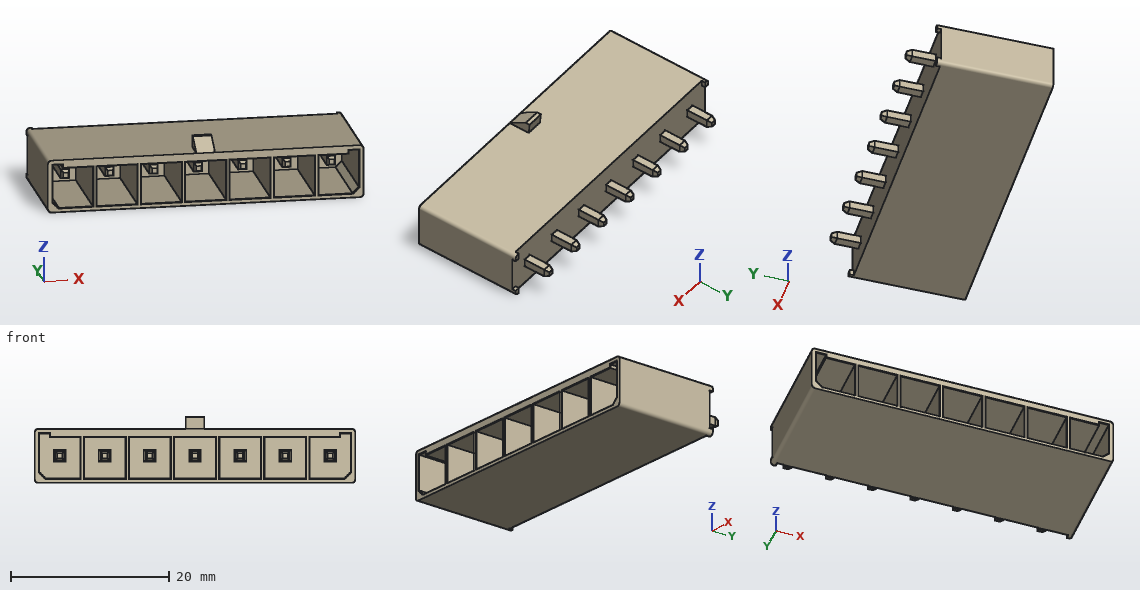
import cadquery as cq

HOUSING_WIDTH = 40.55
HOUSING_HEIGHT = 6.85
HOUSING_DEPTH = 14.75
EDGE_RADIUS = 0.5

FOOT_WIDTH = 0.7
FOOT_HEIGHT = 0.85
FOOT_LENGTH = 0.53

CONTACT_COUNT = 7
ROW_SPAN = 34.2
PITCH = ROW_SPAN / (CONTACT_COUNT - 1)
CAVITY_WIDTH = 5.35
CAVITY_HEIGHT = CAVITY_WIDTH
CAVITY_DEPTH = 12.15
MOUTH_BEVEL = 0.1
BOTTOM_WALL = 0.5
SIDE_WALL = 0.53

KEY_WIDTH = 1.45
KEY_HEIGHT = 0.5
CORNER_BEVEL = 0.85

LATCH_WIDTH = 2.4
LATCH_TOP = 8.35
LATCH_RIDGE_FRONT = 2.55
LATCH_RIDGE_BACK = 3.15
LATCH_BASE_BACK = 3.0

PIN_WIDTH = 1.1
PIN_HEIGHT = 1.18
PIN_FRONT = 4.85
PIN_BACK = 18.5
TIP_LENGTH = 0.65
TIP_SIZE = 0.65
LEAD_IN_SIZE = 1.5
LEAD_IN_DEPTH = 0.2

HALF_WIDTH = HOUSING_WIDTH / 2
MID_HEIGHT = HOUSING_HEIGHT / 2
CAVITY_TOP = BOTTOM_WALL + CAVITY_HEIGHT
PIN_POSITIONS = [i * PITCH - ROW_SPAN / 2 for i in range(CONTACT_COUNT)]


def plane_at(x, y):
    """Plane facing +Y through (x, y) at mid-height; its local x runs along +X and local y along -Z."""
    return cq.Plane(origin=(x, y, MID_HEIGHT), xDir=(1, 0, 0), normal=(0, 1, 0))


def tapered_block(x, y_start, length, start_size, end_size):
    """Rectangular frustum along +Y; each size is (width, height)."""
    block = cq.Workplane(plane_at(x, y_start)).rect(*start_size)
    return block.workplane(offset=length).rect(*end_size).loft(ruled=True)


def straight_block(x, y_start, length, size):
    """Rectangular bar along +Y with the given (width, height)."""
    return cq.Workplane(plane_at(x, y_start)).rect(*size).extrude(length)


def make_shell():
    """Outer block with rounded long edges, its back cut away to leave four corner feet."""
    full_depth = HOUSING_DEPTH + FOOT_LENGTH
    block = straight_block(0, 0, full_depth, (HOUSING_WIDTH, HOUSING_HEIGHT))
    shell = block.edges("|Y").fillet(EDGE_RADIUS)
    between_feet_x = (HOUSING_WIDTH - 2 * FOOT_WIDTH, HOUSING_HEIGHT)
    between_feet_z = (HOUSING_WIDTH, HOUSING_HEIGHT - 2 * FOOT_HEIGHT)
    for gap in (between_feet_x, between_feet_z):
        shell = shell.cut(straight_block(0, HOUSING_DEPTH, FOOT_LENGTH, gap))
    return shell


def make_cavity(mouth_outline):
    """Cavity along +Y from the (x, z) outline of its mouth, narrowing at once by a small 45 degree bevel."""
    bevel = cq.Workplane("XZ").polyline(mouth_outline).close().extrude(-MOUTH_BEVEL, taper=45)
    bore_outline = cq.Workplane("XZ").polyline(mouth_outline).close().offset2D(-MOUTH_BEVEL, "intersection")
    bore = bore_outline.extrude(-CAVITY_DEPTH)
    return bore.union(bevel)


def make_middle_cavity(x):
    left_x = x - CAVITY_WIDTH / 2
    right_x = x + CAVITY_WIDTH / 2
    return make_cavity([
        (left_x, BOTTOM_WALL),
        (right_x, BOTTOM_WALL),
        (right_x, CAVITY_TOP),
        (left_x, CAVITY_TOP),
    ])


def make_left_cavity():
    """Keyed cavity at the -X end, reaching out to the side wall."""
    outer_x = SIDE_WALL - HALF_WIDTH
    inner_x = PIN_POSITIONS[0] + CAVITY_WIDTH / 2
    return make_cavity([
        (inner_x, BOTTOM_WALL),
        (inner_x, CAVITY_TOP),
        (outer_x + KEY_WIDTH, CAVITY_TOP),
        (outer_x + KEY_WIDTH, CAVITY_TOP + KEY_HEIGHT),
        (outer_x, CAVITY_TOP + KEY_HEIGHT),
        (outer_x, BOTTOM_WALL + CORNER_BEVEL),
        (outer_x + CORNER_BEVEL, BOTTOM_WALL),
    ])


def make_latch():
    """Ramp rising from the front edge to a ridge, with a slightly undercut back face."""
    profile = [
        (0, HOUSING_HEIGHT),
        (LATCH_RIDGE_FRONT, LATCH_TOP),
        (LATCH_RIDGE_BACK, LATCH_TOP),
        (LATCH_BASE_BACK, HOUSING_HEIGHT),
    ]
    return cq.Workplane("YZ").polyline(profile).close().extrude(LATCH_WIDTH / 2, both=True)


def make_pin_hole(x):
    """Close-fitting hole through the back wall, opening through a lead-in at the cavity floor."""
    pin_size = (PIN_WIDTH, PIN_HEIGHT)
    hole = straight_block(x, CAVITY_DEPTH, HOUSING_DEPTH - CAVITY_DEPTH, pin_size)
    lead_in = tapered_block(x, CAVITY_DEPTH, LEAD_IN_DEPTH, (LEAD_IN_SIZE, LEAD_IN_SIZE), pin_size)
    return hole.union(lead_in)


def make_housing():
    housing = make_shell().union(make_latch())
    left_cavity = make_left_cavity()
    housing = housing.cut(left_cavity).cut(left_cavity.mirror("YZ"))
    for x in PIN_POSITIONS[1:-1]:
        housing = housing.cut(make_middle_cavity(x))
    for x in PIN_POSITIONS:
        housing = housing.cut(make_pin_hole(x))
    return housing


def make_pin(x):
    """Rectangular pin with a tapered tip at each end."""
    pin_size = (PIN_WIDTH, PIN_HEIGHT)
    tip_size = (TIP_SIZE, TIP_SIZE)
    shaft_front = PIN_FRONT + TIP_LENGTH
    shaft_back = PIN_BACK - TIP_LENGTH
    shaft = straight_block(x, shaft_front, shaft_back - shaft_front, pin_size)
    front_tip = tapered_block(x, PIN_FRONT, TIP_LENGTH, tip_size, pin_size)
    back_tip = tapered_block(x, shaft_back, TIP_LENGTH, pin_size, tip_size)
    return shaft.union(front_tip).union(back_tip)


housing = make_housing()
pins = [make_pin(x) for x in PIN_POSITIONS]

result = cq.Compound.makeCompound([housing.val(), *[pin.val() for pin in pins]])